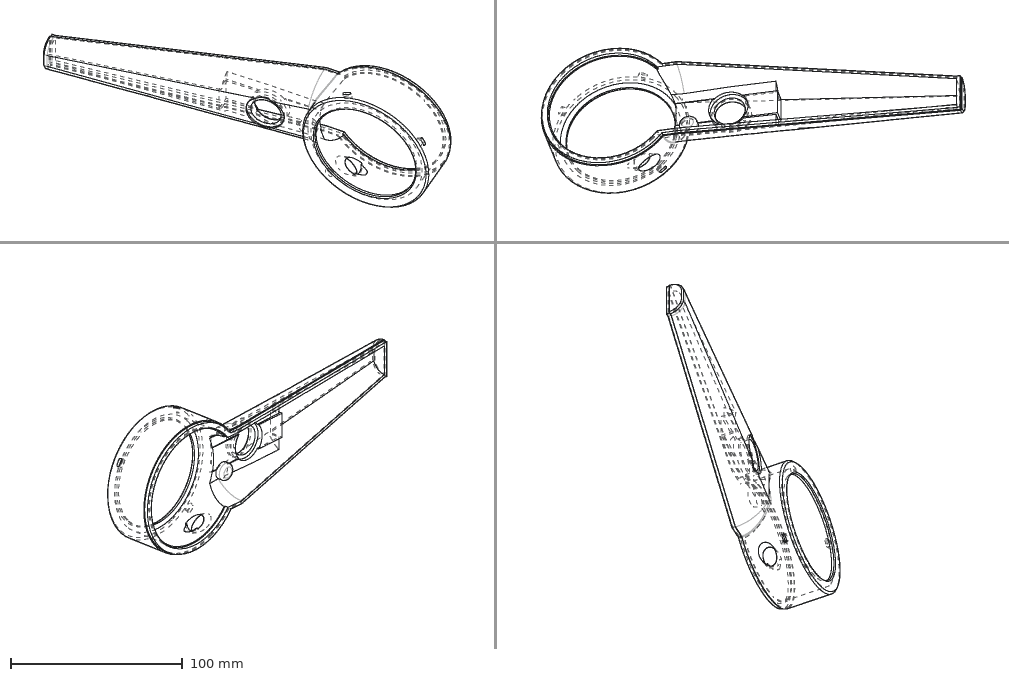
import cadquery as cq
import math


overall_length = 244
ring_radius = 41.0
ring_width = 32.0
front_bevel = 1.2

bore_radius = 36.0
rim_radius = 32.7
rim_width = 2.2
rim_bevel = 0.7

lip_height = 2.2
lip_inset = 0.7
lip_overlap = 2.2

arm_end_x = ring_radius - overall_length
cap_length = 3.0
cap_x = arm_end_x + cap_length
root_x = -40.7
joint_x = -29.3
root_half_width = 25.4
root_front_y = -24.0
root_half_flat = 11.7
tip_half_width = 12.0
tip_back_y = -33.5
tip_front_y = -44.5
tip_half_flat = 4.5
tip_bevel = 1.0
front_slope = (root_front_y - tip_front_y) / (root_x - cap_x)
junction_fillet = 0.7

wall = 2.7
hollow_end_x = -19.5

pad_start_x = -95.2
pad_start_y = -20.5
pad_end_y = -17.5
rib_start_x = -96.5
rib_start_y = -19.0
rib_half_width = 7.8

arm_hole_x = -67.0
arm_hole_radius = 9.3
counterbore_radius = 11.7
counterbore_depth = 1.2
back_recess_radius = 11.7
back_recess_y = -22.0

pin_x = -44.0
pin_z = -10.0
pin_radius = 5.4
pin_top_y = -13.7
pin_embedded = 3.7
pin_rounding = 2.0

slot_angles = (30.4, 110.4, 230.4)
slot_length = 5.1
slot_width = 2.0
slot_depth = 3.0
slot_y = -26.8

screw_start = cq.Vector(-30.0, -14.0, -36.5)
screw_tilt = 13.0
screw_radius = 4.0
screw_length = 22.0
screw_mouth_radius = 5.1
screw_mouth_length = 17.0

clearance = 5.0

tolerance = 0.02


def cylinder(radius, length, start, axis):
    return cq.Workplane(cq.Solid.makeCylinder(radius, length, start, axis))


def cylinder_y(radius, y_low, y_high, x=0, z=0):
    return cylinder(radius, y_high - y_low, cq.Vector(x, y_low, z), cq.Vector(0, 1, 0))


def arm_section(x, half_width, back_y, front_y, half_flat):
    """Flat-fronted D whose curved sides leave the back at a right angle."""
    depth = back_y - front_y
    inward = half_width - half_flat
    radius = (depth**2 + inward**2) / (2 * inward)
    half_sweep = math.asin(depth / radius) / 2
    middle_y = back_y - radius * math.sin(half_sweep)
    middle_z = half_width - radius * (1 - math.cos(half_sweep))
    outline = (
        cq.Workplane("YZ", origin=(x, 0, 0))
        .moveTo(back_y, half_width)
        .threePointArc((middle_y, middle_z), (front_y, half_flat))
        .lineTo(front_y, -half_flat)
        .threePointArc((middle_y, -middle_z), (back_y, -half_width))
        .close()
    )
    return outline.wires().val()


def loft_chain(sections):
    """Join straight lofts between each pair of neighbouring sections."""
    chain = cq.Workplane()
    for first, second in zip(sections, sections[1:]):
        chain = chain.union(cq.Workplane(cq.Solid.makeLoft([first, second], True)))
    return chain


def arm_body():
    """Outer shape of the arm below its lip, closed by a bevelled cap at the tip."""
    root = (root_half_width, -lip_height, root_front_y, root_half_flat)
    tip_top_y = tip_back_y - lip_height
    tip = (tip_half_width, tip_top_y, tip_front_y, tip_half_flat)
    end = (tip_half_width - tip_bevel, tip_top_y, tip_front_y + tip_bevel, tip_half_flat)
    return loft_chain([
        arm_section(joint_x, *root),
        arm_section(root_x, *root),
        arm_section(cap_x, *tip),
        arm_section(arm_end_x + tip_bevel, *tip),
        arm_section(arm_end_x, *end),
    ])


def arm_lip():
    """Band that carries the lip along the arm, inset from its sides and tip."""
    end_x = arm_end_x + lip_inset
    root_half = root_half_width - lip_inset
    tip_half = tip_half_width - lip_inset
    thickness = lip_height + lip_overlap
    back_line = [(joint_x, 0), (root_x, 0), (cap_x, tip_back_y), (end_x, tip_back_y)]
    side_line = [(joint_x, root_half), (root_x, root_half), (cap_x, tip_half), (end_x, tip_half)]
    lower_line = [(x, y - thickness) for x, y in reversed(back_line)]
    mirrored_line = [(x, -z) for x, z in reversed(side_line)]
    band = cq.Workplane("XY").polyline(back_line + lower_line).close().extrude(root_half_width, both=True)
    plan = cq.Workplane("XZ").polyline(side_line + mirrored_line).close().extrude(-tip_front_y)
    return band.intersect(plan)


def ring():
    body = cylinder_y(ring_radius, -ring_width, -lip_height).faces("<Y").chamfer(front_bevel)
    return body.union(cylinder_y(ring_radius - lip_inset, -lip_height, 0))


def pad():
    """Sloping filler at the bottom of the hollow."""

    def wedge(start_x, start_y, half_width):
        profile = [
            (start_x, start_y),
            (hollow_end_x, pad_end_y),
            (hollow_end_x, tip_front_y),
            (start_x, tip_front_y),
        ]
        return cq.Workplane("XY").polyline(profile).close().extrude(half_width, both=True)

    rib = wedge(rib_start_x, rib_start_y, rib_half_width)
    return wedge(pad_start_x, pad_start_y, root_half_width).union(rib)


def pin():
    shank = cylinder_y(pin_radius, pad_end_y - pin_embedded, pin_top_y, pin_x, pin_z)
    return shank.faces(">Y").edges().fillet(pin_rounding)


def hollow():
    """Inside of the arm, open at the back, leaving the pad and the pin standing."""
    flat_inset = wall / 2
    root = (root_half_width - wall, 0, root_front_y + wall, root_half_flat - flat_inset)
    tip = (tip_half_width - wall, tip_back_y, tip_front_y + wall, tip_half_flat - flat_inset)
    inside = loft_chain([
        arm_section(hollow_end_x, *root),
        arm_section(root_x, *root),
        arm_section(cap_x, *tip),
    ])
    return inside.cut(pad()).cut(pin())


def bore():
    mouth_radius = rim_radius + rim_bevel
    rim_opening = cylinder_y(rim_radius, -ring_width, 0)
    bevel = cq.Workplane(
        cq.Solid.makeCone(
            mouth_radius, rim_radius, rim_bevel, cq.Vector(0, -ring_width, 0), cq.Vector(0, 1, 0)
        )
    )
    inside = cylinder_y(bore_radius, -ring_width + rim_width, 0)
    recess = cylinder_y(bore_radius + lip_inset, -lip_height, 0)
    return rim_opening.union(bevel).union(inside).union(recess)


def arm_hole():
    through = cylinder_y(arm_hole_radius, tip_front_y, 0, arm_hole_x)
    front_y = root_front_y + front_slope * (arm_hole_x - root_x)
    inward = cq.Vector(-front_slope, 1, 0).normalized()
    start = cq.Vector(arm_hole_x, front_y, 0) - inward * clearance
    counterbore = cylinder(counterbore_radius, counterbore_depth + clearance, start, inward)
    back_recess = cylinder_y(back_recess_radius, back_recess_y, 0, arm_hole_x)
    return through.union(counterbore).union(back_recess)


def slots():
    cutter = (
        cq.Workplane("YZ", origin=(ring_radius - slot_depth, slot_y, 0))
        .slot2D(slot_length, slot_width, 90)
        .extrude(slot_depth + clearance)
    )
    cutters = cq.Workplane()
    for angle in slot_angles:
        cutters = cutters.union(cutter.rotate((0, 0, 0), (0, 1, 0), -angle))
    return cutters


def screw_hole():
    tilt = math.radians(screw_tilt)
    axis = cq.Vector(math.cos(tilt), 0, math.sin(tilt))
    hole = cylinder(screw_radius, screw_length, screw_start, axis)
    return hole.union(cylinder(screw_mouth_radius, screw_mouth_length, screw_start, axis))


def junction_edges(blank):
    """Edges along which the arm meets the outside of the ring, below the lip."""

    def on_ring(edge):
        points = [edge.positionAt(share) for share in (0, 0.5, 1)]
        return all(abs(math.hypot(p.x, p.z) - ring_radius) < tolerance for p in points)

    def on_arm(edge):
        middle = edge.positionAt(0.5)
        return middle.x < joint_x and root_front_y - tolerance < middle.y < -lip_height - tolerance

    return blank.edges().filter(lambda edge: on_ring(edge) and on_arm(edge))


result = ring().union(arm_body()).union(arm_lip())
result = junction_edges(result).fillet(junction_fillet)
for cutter in (hollow(), bore(), arm_hole(), slots(), screw_hole()):
    result = result.cut(cutter)